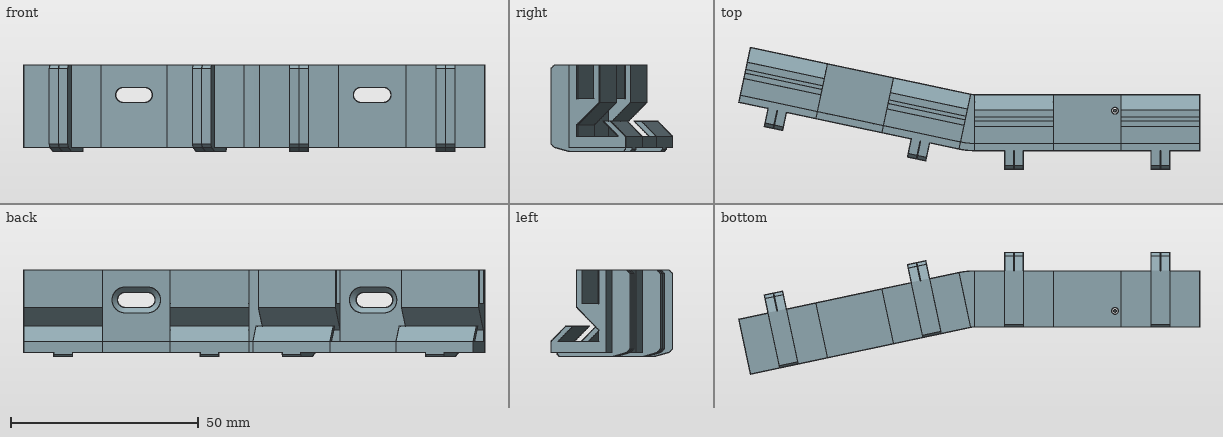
import cadquery as cq
import math

overall_length = 122.9
bend_angle = 12.0
bend_radius = 20.0
clip_length = 21.0

depth = 15.0
height = 22.0
wall = 2.0
floor = 3.0

finger = 1.5
slot_width = 4.5
slot_depth = 9.0
finger_drop = 10.0
lip_bevel = 4.0
lip_width = 2.0

rib_width = 5.0
rib_reach = 4.9
rib_chamfer = 1.0
rib_drop = 1.1
heel_chamfer = 0.6
slit_width = 0.06

window_length = 10.0
window_height = 3.9
window_level = 14.0
window_land = 0.5
flare_angle = 45.0

pin_diameter = 0.7
pin_hole_diameter = 1.7
pin_from_end = 1.6
pin_from_front = 10.7

bend = math.radians(bend_angle)
arm_length = (overall_length - bend_radius * math.sin(bend)) / (1 + math.cos(bend))
plate_length = arm_length - 2 * clip_length
finger_back = wall + slot_width + finger
finger_bottom = height - finger_drop
lip_front = depth - lip_bevel - lip_width


def extrude_profile(points, length):
    """Extrude a (depth, height) outline from X = 0 to X = length."""
    return cq.Workplane("YZ").polyline(points).close().extrude(length)


def angle_outline():
    """L-shaped section shared by the plates and the joint."""
    return [(0, 0), (depth, 0), (depth, floor), (wall, floor), (wall, height), (0, height)]


def clip_outline():
    """Section with a rear lip, a notch under the finger and a slot in the top."""
    return [
        (0, 0),
        (depth, 0),
        (depth, floor),
        (depth - lip_bevel, floor + lip_bevel),
        (lip_front, floor + lip_bevel),
        (lip_front + lip_bevel, floor),
        (wall, floor),
        (wall, finger_bottom - (finger_back - wall)),
        (finger_back, finger_bottom),
        (finger_back, height),
        (finger_back - finger, height),
        (finger_back - finger, height - slot_depth),
        (wall, height - slot_depth),
        (wall, height),
        (0, height),
    ]


def rib_outline():
    """Section of a rib that wraps the wall front and the underside of the base."""
    return [
        (0, height),
        (rib_chamfer - rib_reach, height),
        (-rib_reach, height - rib_chamfer),
        (-rib_reach, rib_chamfer),
        (rib_chamfer - rib_reach, 0),
        (0, -rib_drop),
        (depth - heel_chamfer, -rib_drop),
        (depth, heel_chamfer - rib_drop),
        (depth, 0),
        (0, 0),
    ]


def make_clip():
    rib_start = (clip_length - rib_width) / 2
    rib = extrude_profile(rib_outline(), rib_width).translate((rib_start, 0, 0))
    slit = cq.Workplane("XY").box(slit_width, rib_reach, 2 * height)
    slit = slit.translate((clip_length / 2, -rib_reach / 2, height / 2))
    return extrude_profile(clip_outline(), clip_length).union(rib).cut(slit)


def window_cut(front, length, flare):
    """Round-ended slot cut from the given depth towards the back, widening by flare degrees."""
    return (
        cq.Workplane("XZ", origin=(plate_length / 2, front, window_level))
        .slot2D(window_length, window_height)
        .extrude(-length, taper=-flare)
    )


def make_plate():
    """Plate with a slotted window that flares open towards the back of the wall."""
    straight = window_cut(0, window_land, 0)
    flared = window_cut(window_land, wall - window_land, flare_angle)
    return extrude_profile(angle_outline(), plate_length).cut(straight).cut(flared)


def make_joint():
    """L-shaped section swept round the bend, starting at the straight arm."""
    section = cq.Workplane("YZ").polyline(angle_outline()).close()
    return section.revolve(bend_angle, (bend_radius, 0, 0), (bend_radius, -1, 0))


def vertical_cylinder(diameter, x):
    return cq.Workplane("XY", origin=(x, pin_from_front, 0)).circle(diameter / 2).extrude(floor)


def on_straight_arm(body, start):
    return body.translate((start, 0, 0))


def on_bent_arm(body, start):
    """Place a body along the arm that turns away round the bend centre."""
    return body.translate((start - arm_length, 0, 0)).rotate(
        (0, bend_radius, 0), (0, bend_radius, 1), -bend_angle
    )


clip_starts = [0, clip_length + plate_length]
arms = [on_straight_arm, on_bent_arm]
clips = [place(make_clip(), start) for place in arms for start in clip_starts]

pin_x = clip_length + plate_length - pin_from_end
straight_plate = on_straight_arm(make_plate(), clip_length).cut(vertical_cylinder(pin_hole_diameter, pin_x))
bent_plate = on_bent_arm(make_plate(), clip_length)
joint = make_joint()
pin = vertical_cylinder(pin_diameter, pin_x)

bodies = [*clips, straight_plate, bent_plate, joint, pin]
result = cq.Compound.makeCompound([body.val() for body in bodies])